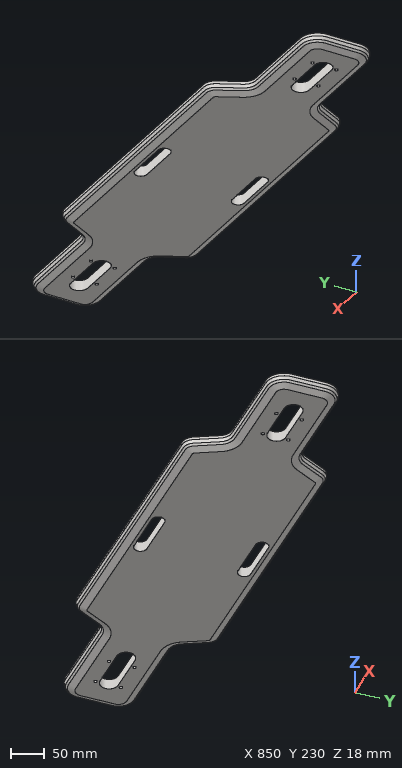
import cadquery as cq

length = 850.0
body_width = 230.0
tongue_width = 115.0
thickness = 18.0
tongue_length = 175.0
taper_length = 30.0

end_corner_radius = 30.0
shoulder_radius = 20.0

facet_heights = [5.0, 3.0, 4.7]
facet_tilts = [22.5, 45.0, 67.5]
slab_thickness = thickness - sum(facet_heights)

grip_length = 90.0
grip_width = 20.0
grip_offset = 83.0

mount_slot_length = 95.0
mount_slot_width = 29.0
mount_offset = 331.0
bolt_spacing_x = 53.5
bolt_spacing_y = 41.0
bolt_diameter = 5.0
bolt_pattern_shift = -10.0


def make_slab():
    """Straight-sided upper part of the deck, with rounded outline corners."""
    half_length = length / 2
    half_body = body_width / 2
    half_tongue = tongue_width / 2
    tongue_root = half_length - tongue_length
    body_end = tongue_root - taper_length

    upper = [
        (-half_length, half_tongue),
        (-tongue_root, half_tongue),
        (-body_end, half_body),
        (body_end, half_body),
        (tongue_root, half_tongue),
        (half_length, half_tongue),
    ]
    lower = [(x, -y) for x, y in reversed(upper)]
    slab_bottom = cq.Workplane("XY", origin=(0, 0, thickness - slab_thickness))
    plate = slab_bottom.polyline(upper + lower).close().extrude(slab_thickness)

    plate = plate.edges("|Z and (not (<X or >X))").fillet(shoulder_radius)
    return plate.edges("|Z and (<X or >X)").fillet(end_corner_radius)


def add_beveled_underside(slab):
    """Stack tapered layers below the straight-sided slab, down to z = 0."""
    deck = slab
    for height, tilt in zip(facet_heights, facet_tilts):
        outline = deck.faces("<Z").wires().toPending().workplane()
        layer = outline.extrude(height, combine=False, taper=tilt)
        deck = deck.union(layer, clean=False)
    return deck


def make_slots(centers, slot_length, slot_width):
    """Round-ended through slots running along X."""
    return cq.Workplane("XY").pushPoints(centers).slot2D(slot_length, slot_width).extrude(thickness)


def make_bolt_holes(pattern_x):
    """Four through holes in a rectangle centered at pattern_x."""
    return (
        cq.Workplane("XY")
        .center(pattern_x, 0)
        .rect(bolt_spacing_x, bolt_spacing_y, forConstruction=True)
        .vertices()
        .circle(bolt_diameter / 2)
        .extrude(thickness)
    )


result = add_beveled_underside(make_slab())

result = result.cut(make_slots([(0, -grip_offset), (0, grip_offset)], grip_length, grip_width))
for mount_x in (-mount_offset, mount_offset):
    result = result.cut(make_slots([(mount_x, 0)], mount_slot_length, mount_slot_width))
    result = result.cut(make_bolt_holes(mount_x + bolt_pattern_shift))